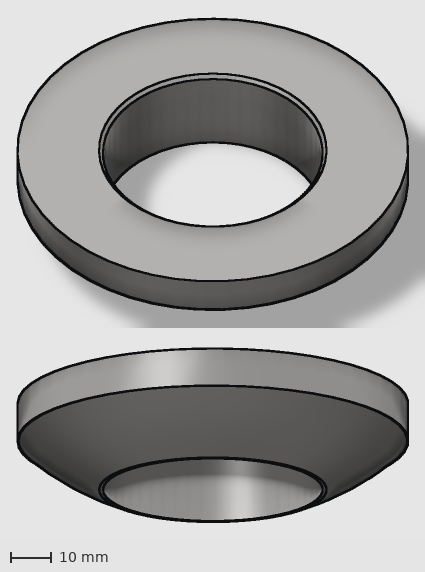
import cadquery as cq
import math

outer_radius = 48.0
height = 22.0
rim_height = 9.5
bore_radius = 27.0
bore_chamfer = 1.0
seat_radius = 72.0
bottom_radius = bore_radius + bore_chamfer

sphere_center_z = math.sqrt(seat_radius**2 - bottom_radius**2)
rim_bottom_z = height - rim_height


def sphere_radius_at(z):
    """Distance of the spherical seat from the Z axis at height z."""
    return math.sqrt(seat_radius**2 - (z - sphere_center_z) ** 2)


seat_mid_z = rim_bottom_z / 2
seat_top_radius = sphere_radius_at(rim_bottom_z)
half_section = (
    cq.Workplane("XZ")
    .moveTo(bore_radius, 0)
    .lineTo(bottom_radius, 0)
    .threePointArc(
        (sphere_radius_at(seat_mid_z), seat_mid_z),
        (seat_top_radius, rim_bottom_z),
    )
    .lineTo(outer_radius, rim_bottom_z)
    .lineTo(outer_radius, height)
    .lineTo(bore_radius + bore_chamfer, height)
    .lineTo(bore_radius, height - bore_chamfer)
    .close()
)

result = half_section.revolve(360, (0, 0, 0), (0, 1, 0))